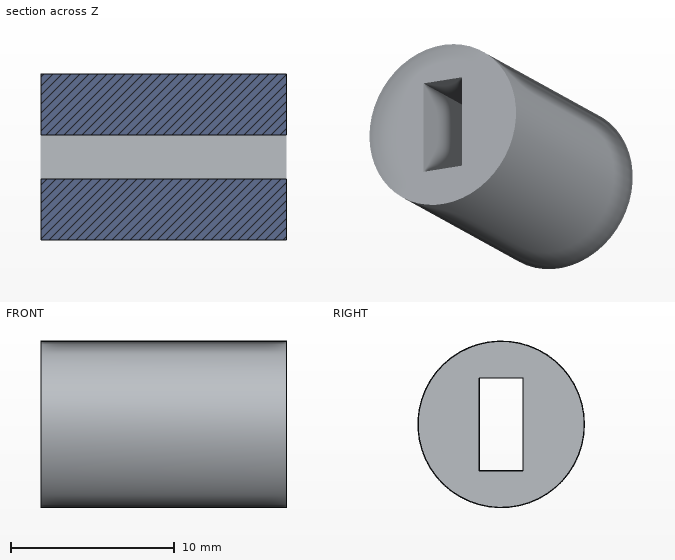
import cadquery as cq

length = 15.0
outer_diameter = 10.17
slot_width = 2.65
slot_height = 5.65


def end_plane():
    """Sketch plane on the -X end, so the sleeve is centred on the origin."""
    return cq.Workplane("YZ", origin=(-length / 2, 0, 0))


def sleeve_body():
    """Solid cylinder with its axis along X."""
    return end_plane().circle(outer_diameter / 2).extrude(length)


def through_slot():
    """Rectangular bar on the sleeve axis, as long as the sleeve."""
    return end_plane().rect(slot_width, slot_height).extrude(length)


result = sleeve_body().cut(through_slot())